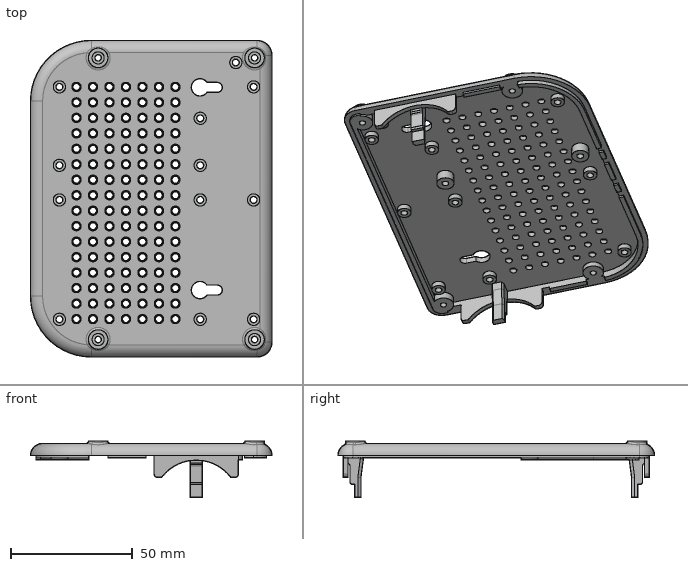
import cadquery as cq
import math

LENGTH = 99.19
WIDTH = 130.0
PLATE_HEIGHT = 5.0
EDGE_ROUND = 5.0
LEFT_CORNER_RADIUS = 25.0
RIGHT_CORNER_RADIUS = 6.2
SKIN = 2.7
ROOF_Z = PLATE_HEIGHT - SKIN
OVERLAP = 0.5

LIP_INSET = 2.2
LIP_THICKNESS = 2.0
CAVITY_INSET = LIP_INSET + LIP_THICKNESS
LIP_DROP = 0.9
DEEP_LIP_DROP = 1.8
LEFT_LIP_START_Y = 16.0
LEFT_LIP_END_X = 24.0
LEFT_TABS_Y = ((-12.6, -8.3), (-5.0, 5.0), (8.3, 12.6))
MIDDLE_LIP_X = (31.8, 47.5)
RIGHT_LIP_START_X = 91.6

FOOT_HEIGHT = 1.0
FOOT_DIAMETER = 8.0
FOOT_BLEND = 0.95
FOOT_X = (27.8, 92.0)
FOOT_Y = 57.8
FOOT_BORE = 2.5
FOOT_COUNTERBORE = 5.0
FOOT_BOSS_DIAMETER = 8.4

MOUNT_BORE = 2.7
MOUNT_COUNTERBORE = 5.0
COUNTERBORE_DEPTH = 1.0
MOUNT_BOSS_DIAMETER = 5.5
LARGE_BOSS_DIAMETER = 7.0
MOUNT_POINTS = [
    (11.9, 45.9), (11.9, -0.5), (11.9, -49.5),
    (69.7, 33.0), (69.7, -0.5), (69.7, -49.5),
    (91.6, 45.9), (91.6, -0.5), (91.6, -49.5),
]
LARGE_MOUNT_POINTS = [(11.9, 13.7), (69.7, 13.7)]
CORNER_MOUNT_POINTS = [(84.3, 55.9)]

VENT_COLUMNS = 7
VENT_ROWS = 16
VENT_PITCH_X = 6.77
VENT_PITCH_Y = 6.353
VENT_FIRST_X = 18.9
VENT_FIRST_Y = -49.4
VENT_BORE = 2.8
VENT_MOUTH = 3.8
VENT_CHAMFER_DEPTH = 0.5

KEYHOLE_X = 69.6
KEYHOLE_Y = (45.7, -37.5)
KEYHOLE_DIAMETER = 7.0
KEYHOLE_SLOT_WIDTH = 4.0
KEYHOLE_REACH = 9.1

SKIRT_CENTRE_X = 68.05
SKIRT_LENGTH = 34.7
SKIRT_DEPTH = 9.0
SKIRT_CORNER_RADIUS = 1.5
ARCH_CORNER_RADIUS = 0.6
ARCH_HALF_SPAN = 14.2
ARCH_TOP_Z = -1.9
HOOK_WIDTH = 5.1
HOOK_BOTTOM_Z = -17.2
HOOK_ROOT_Y = 60.8
HOOK_OUTER_Y = 60.05
HOOK_TIP_Y = 58.15
HOOK_INNER_Y = 55.5
HOOK_INNER_ROOT_Y = 54.5
HOOK_SHELF_Z = -11.85
HOOK_TAPER_BOTTOM_Z = -9.0
HOOK_TAPER_TOP_Z = -1.5
HOOK_BEVEL_DEPTH = 1.3
HOOK_BEVEL_WIDTH = 0.7

foot_points = [(x, y) for x in FOOT_X for y in (-FOOT_Y, FOOT_Y)]
vent_points = [
    (VENT_FIRST_X + column * VENT_PITCH_X, VENT_FIRST_Y + row * VENT_PITCH_Y)
    for column in range(VENT_COLUMNS)
    for row in range(VENT_ROWS)
]


def plate_outline(inset):
    """Rounded outline moved inward by inset."""
    left = inset
    right = LENGTH - inset
    top = WIDTH / 2 - inset
    big = LEFT_CORNER_RADIUS - inset
    small = RIGHT_CORNER_RADIUS - inset
    big_mid = big * (1 - math.sqrt(0.5))
    small_mid = small * (1 - math.sqrt(0.5))
    return (
        cq.Workplane("XY")
        .moveTo(left + big, -top)
        .lineTo(right - small, -top)
        .threePointArc((right - small_mid, -top + small_mid), (right, -top + small))
        .lineTo(right, top - small)
        .threePointArc((right - small_mid, top - small_mid), (right - small, top))
        .lineTo(left + big, top)
        .threePointArc((left + big_mid, top - big_mid), (left, top - big))
        .lineTo(left, -top + big)
        .threePointArc((left + big_mid, -top + big_mid), (left + big, -top))
        .close()
    )


def box(x_range, y_range, z_range):
    """Box between the given limits."""
    size = [high - low for low, high in (x_range, y_range, z_range)]
    corner = (x_range[0], y_range[0], z_range[0])
    return cq.Workplane("XY").box(*size, centered=False).translate(corner)


def cylinder(point, diameter, z_low, z_high):
    """Upright cylinder between two heights."""
    return (
        cq.Workplane("XY", origin=(point[0], point[1], z_low))
        .circle(diameter / 2)
        .extrude(z_high - z_low)
    )


def make_shell():
    """Hollow plate whose top edge is rounded down to the rim."""
    body = plate_outline(0).extrude(PLATE_HEIGHT + OVERLAP).faces(">Z").edges().fillet(EDGE_ROUND)
    body = body.translate((0, 0, -OVERLAP)).cut(plate_outline(0).extrude(-OVERLAP))
    for point in foot_points:
        body = add_foot(body, point)
    return body.cut(plate_outline(CAVITY_INSET).extrude(ROOF_Z))


def add_foot(body, point):
    """Add a round foot, blended into the plate around its base."""
    x, y = point
    body = body.union(cylinder(point, FOOT_DIAMETER, ROOF_Z, PLATE_HEIGHT + FOOT_HEIGHT))
    reach = FOOT_DIAMETER / 2 + 0.1
    base_edge = cq.selectors.BoxSelector(
        (x - reach, y - reach, ROOF_Z),
        (x + reach, y + reach, PLATE_HEIGHT + FOOT_HEIGHT / 2),
        boundingbox=True,
    )
    return body.edges(base_edge).fillet(FOOT_BLEND)


def make_lip():
    """Lip segments below the rim; the left corner at positive Y has the deeper one."""
    height = OVERLAP + DEEP_LIP_DROP
    ring = plate_outline(LIP_INSET).extrude(height).cut(plate_outline(CAVITY_INSET).extrude(height))
    ring = ring.translate((0, 0, -DEEP_LIP_DROP))
    side = WIDTH / 2
    left = (0, LEFT_LIP_END_X)
    shallow = (-LIP_DROP, OVERLAP)
    zones = box(left, (LEFT_LIP_START_Y, side), (-DEEP_LIP_DROP, OVERLAP))
    zones = zones.union(box(left, (-side, -LEFT_LIP_START_Y), shallow))
    for tab in LEFT_TABS_Y:
        zones = zones.union(box(left, tab, shallow))
    for x_range in (MIDDLE_LIP_X, (RIGHT_LIP_START_X, LENGTH)):
        zones = zones.union(box(x_range, (-side, side), shallow))
    return ring.intersect(zones)


def make_skirt():
    """Arched skirt on the positive Y side."""
    half = SKIRT_LENGTH / 2
    skirt = (
        cq.Workplane("XZ", origin=(SKIRT_CENTRE_X, WIDTH / 2 - LIP_INSET, 0))
        .moveTo(-half, OVERLAP)
        .lineTo(-half, -SKIRT_DEPTH)
        .lineTo(-ARCH_HALF_SPAN, -SKIRT_DEPTH)
        .threePointArc((0, ARCH_TOP_Z), (ARCH_HALF_SPAN, -SKIRT_DEPTH))
        .lineTo(half, -SKIRT_DEPTH)
        .lineTo(half, OVERLAP)
        .close()
        .extrude(LIP_THICKNESS)
    )
    skirt = skirt.faces("<Z").edges("|Y").edges("<X or >X").fillet(SKIRT_CORNER_RADIUS)
    return skirt.faces("<Z").edges("|Y").edges("not (<X or >X)").fillet(ARCH_CORNER_RADIUS)


def make_hook():
    """Snap hook on the positive Y side; its inner vertical edges are bevelled."""
    root_z = ROOF_Z + OVERLAP
    profile = [
        (HOOK_ROOT_Y, root_z),
        (HOOK_ROOT_Y, -3.1),
        (HOOK_OUTER_Y + 0.15, -3.7),
        (HOOK_OUTER_Y, -4.3),
        (HOOK_OUTER_Y, HOOK_SHELF_Z + 0.75),
        (HOOK_OUTER_Y - 0.55, HOOK_SHELF_Z),
        (HOOK_TIP_Y, HOOK_SHELF_Z),
        (HOOK_TIP_Y, HOOK_BOTTOM_Z),
        (HOOK_INNER_Y, HOOK_BOTTOM_Z),
        (HOOK_INNER_Y, HOOK_TAPER_BOTTOM_Z),
        (HOOK_INNER_ROOT_Y, HOOK_TAPER_TOP_Z),
        (HOOK_INNER_ROOT_Y, root_z),
    ]
    hook = (
        cq.Workplane("YZ", origin=(SKIRT_CENTRE_X - HOOK_WIDTH / 2, 0, 0))
        .polyline(profile)
        .close()
        .extrude(HOOK_WIDTH)
    )
    inner_edges = cq.selectors.BoxSelector(
        (0, HOOK_INNER_ROOT_Y - OVERLAP, HOOK_BOTTOM_Z + OVERLAP),
        (LENGTH, HOOK_INNER_Y + OVERLAP, root_z - OVERLAP),
    )
    return hook.edges(inner_edges).edges("not |X").chamfer(HOOK_BEVEL_WIDTH, HOOK_BEVEL_DEPTH)


def make_bosses():
    """Round bosses that carry the screw holes below the skin."""
    groups = (
        (MOUNT_POINTS, MOUNT_BOSS_DIAMETER, 0),
        (LARGE_MOUNT_POINTS, LARGE_BOSS_DIAMETER, DEEP_LIP_DROP),
        (CORNER_MOUNT_POINTS, MOUNT_BOSS_DIAMETER, DEEP_LIP_DROP),
        ([p for p in foot_points if p[0] == FOOT_X[0]], FOOT_BOSS_DIAMETER, 0),
        ([p for p in foot_points if p[0] == FOOT_X[1]], FOOT_BOSS_DIAMETER, LIP_DROP),
    )
    return [
        cylinder(point, diameter, -drop, ROOF_Z + OVERLAP)
        for points, diameter, drop in groups
        for point in points
    ]


def screw_hole(point, bore, counterbore, top):
    """Counterbored through-hole cutter entering from the top."""
    cutter = cylinder(point, bore, -DEEP_LIP_DROP, top)
    return cutter.union(cylinder(point, counterbore, top - COUNTERBORE_DEPTH, top))


def vent_hole(point):
    """Through-hole cutter with a flared mouth."""
    mouth = (
        cq.Workplane("XY", origin=(point[0], point[1], PLATE_HEIGHT))
        .circle(VENT_MOUTH / 2)
        .workplane(offset=-VENT_CHAMFER_DEPTH)
        .circle(VENT_BORE / 2)
        .loft()
    )
    return mouth.union(cylinder(point, VENT_BORE, 0, PLATE_HEIGHT - VENT_CHAMFER_DEPTH))


def make_keyhole(y):
    """Keyhole cutter with its slot toward positive X."""
    straight = KEYHOLE_REACH - KEYHOLE_SLOT_WIDTH / 2
    half = KEYHOLE_SLOT_WIDTH / 2
    slot = box((KEYHOLE_X, KEYHOLE_X + straight), (y - half, y + half), (0, PLATE_HEIGHT))
    slot = slot.union(cylinder((KEYHOLE_X + straight, y), KEYHOLE_SLOT_WIDTH, 0, PLATE_HEIGHT))
    return slot.union(cylinder((KEYHOLE_X, y), KEYHOLE_DIAMETER, 0, PLATE_HEIGHT))


def make_cutters():
    """All screw holes, vents and keyholes."""
    mounts = MOUNT_POINTS + LARGE_MOUNT_POINTS + CORNER_MOUNT_POINTS
    foot_top = PLATE_HEIGHT + FOOT_HEIGHT
    cutters = [screw_hole(point, MOUNT_BORE, MOUNT_COUNTERBORE, PLATE_HEIGHT) for point in mounts]
    cutters += [screw_hole(point, FOOT_BORE, FOOT_COUNTERBORE, foot_top) for point in foot_points]
    cutters += [vent_hole(point) for point in vent_points]
    cutters += [make_keyhole(y) for y in KEYHOLE_Y]
    return cq.Workplane(cq.Compound.makeCompound([cutter.val() for cutter in cutters]))


result = make_shell().union(make_lip())
for fitting in (make_skirt(), make_hook()):
    result = result.union(fitting).union(fitting.mirror("XZ"))
for boss in make_bosses():
    result = result.union(boss)
result = result.cut(make_cutters())